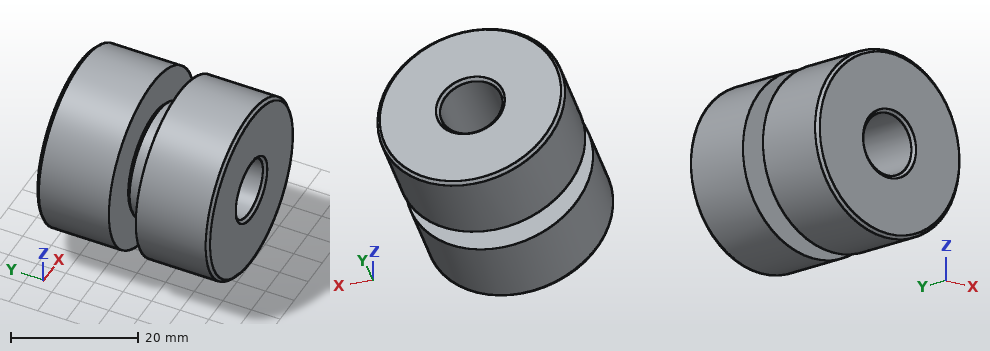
import cadquery as cq

outer_diameter = 30.48
total_length = 30.18
flange_length = 12.75
hub_diameter = 19.42
neck_diameter = 14.2
neck_length = 0.4
bore_diameter = 10.15
chamfer = 0.52

front_end = -total_length / 2
back_end = total_length / 2
front_flange_face = front_end + flange_length
back_flange_face = back_end - flange_length
hub_face = back_flange_face - neck_length
hub_length = hub_face - front_flange_face


def cylinder_along_y(diameter, start, length):
    """Solid cylinder on the Y axis, running from start toward +Y."""
    return cq.Workplane("XZ", origin=(0, start, 0)).circle(diameter / 2).extrude(-length)


def bored_flange(start, end_selector):
    """Flange with a through bore, its rim and bore mouth chamfered on the selected end."""
    flange = cylinder_along_y(outer_diameter, start, flange_length)
    bore = cylinder_along_y(bore_diameter, start, flange_length)
    return flange.cut(bore).faces(end_selector).edges().chamfer(chamfer)


def make_hubbed_half():
    """Front half: a flange with a chamfered hub on its inner face."""
    hub = cylinder_along_y(hub_diameter, front_flange_face, hub_length)
    hub = hub.faces(">Y").edges().chamfer(chamfer)
    hub = hub.cut(cylinder_along_y(bore_diameter, front_flange_face, hub_length))
    return bored_flange(front_end, "<Y").union(hub)


def make_necked_half():
    """Back half: a flange with a short neck that rests on the end of the hub."""
    neck = cylinder_along_y(neck_diameter, hub_face, neck_length)
    neck = neck.cut(cylinder_along_y(bore_diameter, hub_face, neck_length))
    return bored_flange(back_flange_face, ">Y").union(neck)


hubbed_half = make_hubbed_half()
necked_half = make_necked_half()

result = cq.Compound.makeCompound([hubbed_half.solids().val(), necked_half.solids().val()])